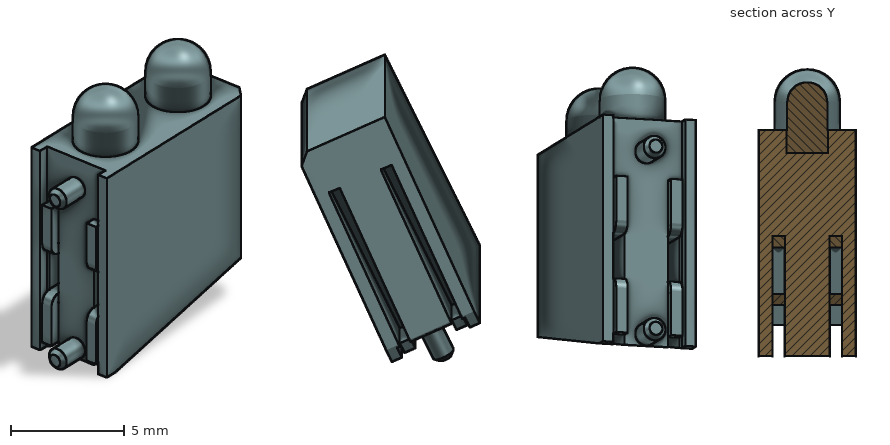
import cadquery as cq


housing_width = 4.3
housing_depth = 9.9
housing_height = 10.2
bottom_flat = 0.59
bottom_rise = 2.0
corner_chamfer = 0.5

flange_width = 0.49
channel_depth = 0.5

peg_diameter = 1.0
peg_projection = 0.99
peg_chamfer = 0.2
lower_peg_z = 0.52
upper_peg_z = 8.72

lamp_pitch = 5.07
front_lamp_y = 2.55
lens_radius = 1.45
lens_top = 12.88
socket_depth = 1.0
socket_floor = housing_height - socket_depth

lead_width = 0.53
lead_thickness = channel_depth
lead_pitch = 2.54
pad_length = 2.5
upper_pad_top = 7.48
lower_pad_bottom = 0.45
upper_run_bottom = upper_pad_top - pad_length
lower_run_top = lower_pad_bottom + pad_length

rear_lamp_y = front_lamp_y + lamp_pitch
lead_positions = [-lead_pitch / 2, lead_pitch / 2]
slot_back = rear_lamp_y + lead_thickness / 2
slot_top = upper_run_bottom + lead_thickness


def box(x_center, width, y_range, z_range):
    """Box centred on x_center, between the given limits along Y and Z."""
    y_min, y_max = y_range
    z_min, z_max = z_range
    return (
        cq.Workplane("XY")
        .box(width, y_max - y_min, z_max - z_min, centered=(True, False, False))
        .translate((x_center, y_min, z_min))
    )


def make_lens(y_center):
    """Cylinder standing on the socket floor, closed by a hemisphere."""
    dome_base = lens_top - lens_radius
    return (
        cq.Workplane("YZ")
        .moveTo(0, socket_floor)
        .lineTo(lens_radius, socket_floor)
        .lineTo(lens_radius, dome_base)
        .radiusArc((0, lens_top), -lens_radius)
        .close()
        .revolve(360, (0, 0, 0), (0, 1, 0))
        .translate((0, y_center, 0))
    )


def make_lead(x_center, y_center, bend_z, pad_direction):
    """Lead going down from the lens, forward to the front, then up (+1) or down (-1) as a pad.

    bend_z is the height of the run's face on the outer side of the rounded bend.
    """
    run_inner_z = bend_z + pad_direction * lead_thickness
    pad_end_z = bend_z + pad_direction * pad_length
    y_front = y_center - lead_thickness / 2
    y_back = y_center + lead_thickness / 2
    run_limits = (min(bend_z, run_inner_z), max(bend_z, run_inner_z))
    drop = box(x_center, lead_width, (y_front, y_back), (run_limits[0], socket_floor))
    run = box(x_center, lead_width, (lead_thickness, y_back), run_limits)
    pad = (
        cq.Workplane("YZ")
        .moveTo(lead_thickness, bend_z)
        .radiusArc((0, run_inner_z), pad_direction * lead_thickness)
        .lineTo(0, pad_end_z)
        .lineTo(lead_thickness, pad_end_z)
        .close()
        .extrude(lead_width / 2, both=True)
        .translate((x_center, 0, 0))
    )
    return drop.union(run).union(pad)


def make_lamp(y_center, bend_z, pad_direction):
    """Lens with its two leads, as one solid."""
    lamp = make_lens(y_center)
    for x_center in lead_positions:
        lamp = lamp.union(make_lead(x_center, y_center, bend_z, pad_direction))
    return lamp


def make_housing_block():
    """Block with a sloped bottom, a chamfered back corner and a channel down its front."""
    block = (
        cq.Workplane("YZ")
        .moveTo(0, 0)
        .lineTo(bottom_flat, 0)
        .lineTo(housing_depth, bottom_rise)
        .lineTo(housing_depth, housing_height)
        .lineTo(0, housing_height)
        .close()
        .extrude(housing_width / 2, both=True)
        .edges("|Z and >X and >Y")
        .chamfer(corner_chamfer)
    )
    channel_width = housing_width - 2 * flange_width
    return block.cut(box(0, channel_width, (0, channel_depth), (0, housing_height)))


def make_peg(z_center):
    """Round peg with a chamfered tip, standing on the floor of the front channel."""
    return (
        cq.Workplane("XZ")
        .circle(peg_diameter / 2)
        .extrude(channel_depth + peg_projection)
        .faces("<Y")
        .chamfer(peg_chamfer)
        .translate((0, channel_depth, z_center))
    )


def make_housing(lamps):
    """Housing with its pegs, open lead slots and a fitting recess for each lamp."""
    housing = make_housing_block()
    for z_center in [lower_peg_z, upper_peg_z]:
        housing = housing.union(make_peg(z_center))
    for x_center in lead_positions:
        housing = housing.cut(box(x_center, lead_width, (channel_depth, slot_back), (0, slot_top)))
    for lamp in lamps:
        housing = housing.cut(lamp)
    return housing


front_lamp = make_lamp(front_lamp_y, upper_run_bottom, 1)
rear_lamp = make_lamp(rear_lamp_y, lower_run_top, -1)
lamps = [front_lamp, rear_lamp]
housing = make_housing(lamps)

result = cq.Compound.makeCompound([housing.val(), *[lamp.val() for lamp in lamps]])